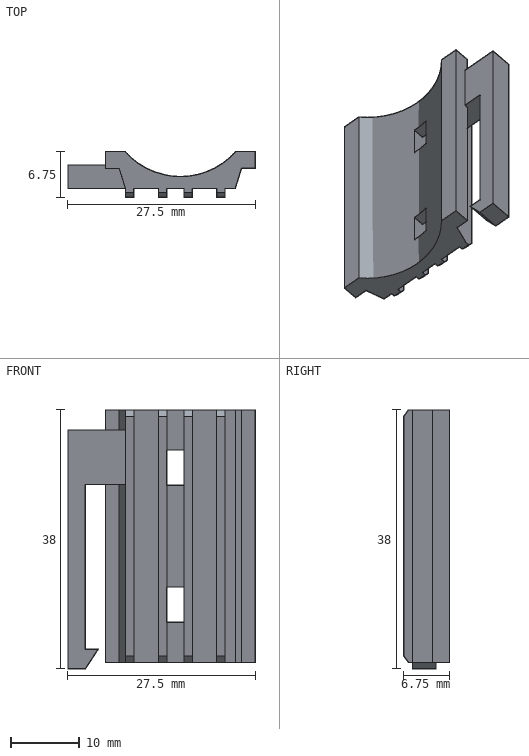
import cadquery as cq

total_width = 27.5
total_depth = 6.75
total_height = 38.0

body_width = 22.0
body_bottom = 0.95
body_height = total_height - body_bottom
body_center = total_width - body_width / 2
flange_front = 4.25
base_front = 1.3
neck_half_width = 8.95
base_half_width = 8.05
trough_half_width = 8.15
trough_bottom = 3.08

ridge_width = 1.25
first_ridge = body_center - base_half_width
outer_ridge_pitch = 4.83
inner_ridge_pitch = 3.72
ridge_bevel_depth = 0.72
ridge_bevel_height = 1.0

window_height = 5.13
window_end_margin = 5.93

arm_back = 4.8
arm_width = 2.6
arm_top = 35.07
arm_bridge_bottom = 27.0
hook_height = 2.93
hook_reach = 1.9


def make_body():
    """Flanged cradle with tapered sides and a round trough in its back."""
    return (
        cq.Workplane("XY", origin=(body_center, 0, body_bottom))
        .moveTo(-body_width / 2, total_depth)
        .lineTo(-body_width / 2, flange_front)
        .lineTo(-neck_half_width, flange_front)
        .lineTo(-base_half_width, base_front)
        .lineTo(base_half_width, base_front)
        .lineTo(neck_half_width, flange_front)
        .lineTo(body_width / 2, flange_front)
        .lineTo(body_width / 2, total_depth)
        .lineTo(trough_half_width, total_depth)
        .threePointArc((0, trough_bottom), (-trough_half_width, total_depth))
        .close()
        .extrude(body_height)
    )


def make_ridge(left):
    """Full-height ridge with bevelled ends, rooted inside the base."""
    root = (base_front + trough_bottom) / 2
    return (
        cq.Workplane("YZ", origin=(left, 0, 0))
        .polyline([
            (root, body_bottom),
            (ridge_bevel_depth, body_bottom),
            (0, body_bottom + ridge_bevel_height),
            (0, total_height - ridge_bevel_height),
            (ridge_bevel_depth, total_height),
            (root, total_height),
        ])
        .close()
        .extrude(ridge_width)
    )


def make_arm():
    """Side bridge carrying a long arm that ends in a hook."""
    return (
        cq.Workplane("XZ", origin=(0, base_front, 0))
        .polyline([
            (0, 0),
            (arm_width, 0),
            (arm_width + hook_reach, hook_height),
            (arm_width, hook_height),
            (arm_width, arm_bridge_bottom),
            (first_ridge, arm_bridge_bottom),
            (first_ridge, arm_top),
            (0, arm_top),
        ])
        .close()
        .extrude(-(arm_back - base_front))
    )


def make_window(bottom, left, right):
    """Cutter passing through the whole depth."""
    return cq.Workplane("XY").box(
        right - left, total_depth, window_height, centered=False
    ).translate((left, 0, bottom))


second_ridge = first_ridge + outer_ridge_pitch
third_ridge = second_ridge + inner_ridge_pitch
fourth_ridge = third_ridge + outer_ridge_pitch

result = make_body().union(make_arm())
for ridge_left in (first_ridge, second_ridge, third_ridge, fourth_ridge):
    result = result.union(make_ridge(ridge_left))

lower_window = body_bottom + window_end_margin
upper_window = total_height - window_end_margin - window_height
for window_bottom in (lower_window, upper_window):
    result = result.cut(make_window(window_bottom, second_ridge + ridge_width, third_ridge))